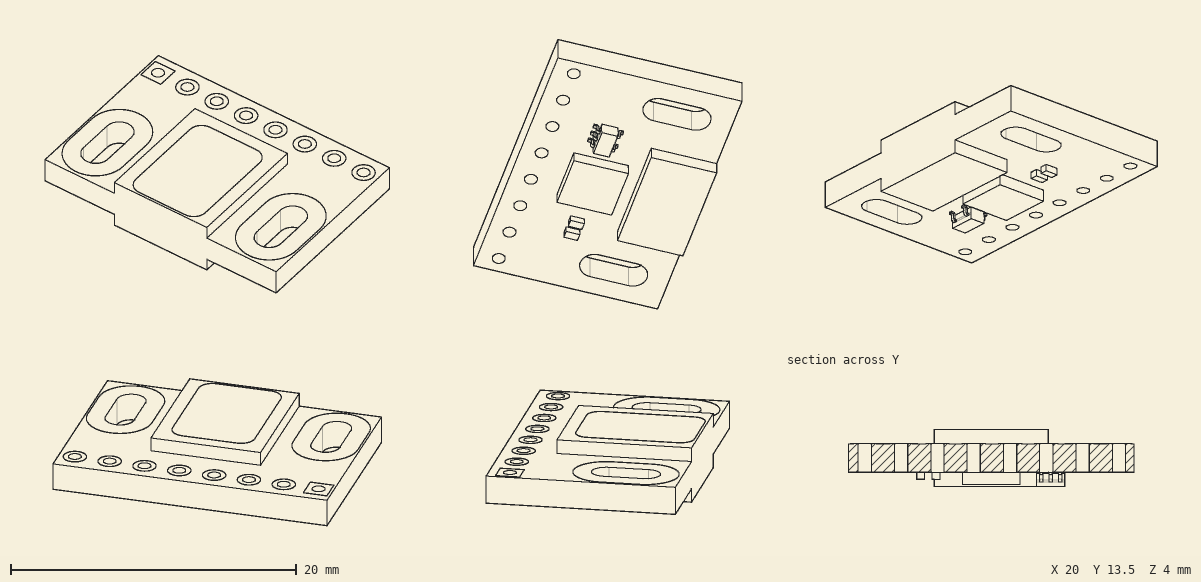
import cadquery as cq

BOARD_X = 20.0
BOARD_Y = 13.5
BOARD_T = 2.0
TOP = BOARD_T / 2
BOTTOM = -BOARD_T / 2
FRONT = -BOARD_Y / 2
BACK = BOARD_Y / 2

PAD_RISE = 0.02

HOLE_COUNT = 8
HOLE_PITCH = 2.55
FIRST_HOLE_X = -8.95
HOLE_D = 0.9
HOLE_Y = BACK - 1.5
ROUND_PAD_D = 1.65
SQUARE_PAD = 1.72

SLOT_X = 7.5
SLOT_Y = FRONT + 4.0
SLOT_STRAIGHT = 2.8
SLOT_W = 2.08
SLOT_PAD_W = 4.7

BLOCK_W = 8.0
BLOCK_H = 1.0
SENSOR_L = 9.6
WINDOW_W = 6.0
WINDOW_L = 8.45
WINDOW_R = 1.0
WINDOW_FRONT_MARGIN = 0.2
WINDOW_DEPTH = 0.02

LOWER_BLOCK_L = 4.8

FLAT_CHIP = 4.0
FLAT_CHIP_H = 0.85
FLAT_CHIP_Y = 1.1

SMALL_X_PLACES = (3.88, 4.95)
SMALL_Y = FLAT_CHIP_Y
SMALL_W = 0.55
SMALL_L = 1.0
SMALL_H = 0.5

CHIP_X = -4.15
CHIP_Y = 1.45
CHIP_L = 2.0
CHIP_W = 1.25
CHIP_H = BLOCK_H
CHIP_GAP = 0.08
CHIP_TOP_INSET = 0.05
CHIP_BOTTOM_INSET = 0.05
LEAD_T = 0.15
LEAD_W = 0.25
LEAD_PITCH = 0.65
LEAD_SPAN = 2.15
LEAD_FOOT = 0.35
LEAD_DROP = 0.52
INNER_BEND_R = 0.05
OUTER_BEND_R = INNER_BEND_R + LEAD_T


def box_on(z, height, x, y, size_x, size_y):
    """Box standing on level z; a negative height hangs it below."""
    return cq.Workplane("XY", origin=(x, y, z)).rect(size_x, size_y).extrude(height)


def slot_prism(x, width, z, height):
    """Upright prism with a slot outline running along Y."""
    length = SLOT_STRAIGHT + width
    return cq.Workplane("XY", origin=(x, SLOT_Y, z)).slot2D(length, width, 90).extrude(height)


def make_board():
    board = box_on(BOTTOM, BOARD_T, 0, 0, BOARD_X, BOARD_Y)

    holes = [(FIRST_HOLE_X + i * HOLE_PITCH, HOLE_Y) for i in range(HOLE_COUNT)]
    board = board.union(box_on(TOP, PAD_RISE, FIRST_HOLE_X, HOLE_Y, SQUARE_PAD, SQUARE_PAD))
    round_pads = cq.Workplane("XY", origin=(0, 0, TOP)).pushPoints(holes[1:])
    board = board.union(round_pads.circle(ROUND_PAD_D / 2).extrude(PAD_RISE))

    for x in (-SLOT_X, SLOT_X):
        board = board.union(slot_prism(x, SLOT_PAD_W, TOP, PAD_RISE))
        board = board.cut(slot_prism(x, SLOT_W, BOTTOM, BOARD_T + PAD_RISE))

    drills = cq.Workplane("XY", origin=(0, 0, BOTTOM)).pushPoints(holes)
    return board.cut(drills.circle(HOLE_D / 2).extrude(BOARD_T + PAD_RISE))


def make_sensor():
    sensor = box_on(TOP, BLOCK_H, 0, FRONT + SENSOR_L / 2, BLOCK_W, SENSOR_L)
    window_y = FRONT + WINDOW_FRONT_MARGIN + WINDOW_L / 2
    window = box_on(TOP + BLOCK_H, -WINDOW_DEPTH, 0, window_y, WINDOW_W, WINDOW_L)
    return sensor.cut(window.edges("|Z").fillet(WINDOW_R))


def make_lead(x, side):
    """Gull-wing lead from inside the chip body out to a foot on the board."""
    tip = LEAD_SPAN / 2
    outer = tip - LEAD_FOOT + LEAD_T
    inner = outer - LEAD_T
    shoulder = LEAD_DROP + LEAD_T
    outline = [
        (0, LEAD_DROP),
        (inner, LEAD_DROP),
        (inner, 0),
        (tip, 0),
        (tip, LEAD_T),
        (outer, LEAD_T),
        (outer, shoulder),
        (0, shoulder),
    ]
    points = [(side * y, -z) for y, z in outline]
    plane = cq.Workplane("YZ", origin=(x, CHIP_Y, BOTTOM))
    lead = plane.polyline(points).close().extrude(LEAD_W / 2, both=True)
    for y, z, radius in (
        (outer, shoulder, OUTER_BEND_R),
        (inner, LEAD_DROP, INNER_BEND_R),
        (inner, 0, OUTER_BEND_R),
        (outer, LEAD_T, INNER_BEND_R),
    ):
        corner = cq.selectors.NearestToPointSelector((x, CHIP_Y + side * y, BOTTOM - z))
        lead = lead.edges("|X").edges(corner).fillet(radius)
    return lead


def make_leaded_chip():
    wide = CHIP_W / 2
    narrow_top = wide - CHIP_TOP_INSET
    narrow_bottom = wide - CHIP_BOTTOM_INSET
    right_side = [
        (narrow_top, CHIP_GAP),
        (wide, LEAD_DROP),
        (wide, LEAD_DROP + LEAD_T),
        (narrow_bottom, CHIP_H),
    ]
    left_side = [(-y, z) for y, z in reversed(right_side)]
    points = [(y, -z) for y, z in right_side + left_side]
    plane = cq.Workplane("YZ", origin=(CHIP_X, CHIP_Y, BOTTOM))
    body = plane.polyline(points).close().extrude(CHIP_L / 2, both=True)

    for step, side in ((-1, -1), (1, -1), (-1, 1), (0, 1), (1, 1)):
        body = body.union(make_lead(CHIP_X + step * LEAD_PITCH, side))
    return body


result = make_board().union(make_sensor())
result = result.union(box_on(BOTTOM, -BLOCK_H, 0, FRONT + LOWER_BLOCK_L / 2, BLOCK_W, LOWER_BLOCK_L))
result = result.union(box_on(BOTTOM, -FLAT_CHIP_H, 0, FLAT_CHIP_Y, FLAT_CHIP, FLAT_CHIP))
for small_x in SMALL_X_PLACES:
    result = result.union(box_on(BOTTOM, -SMALL_H, small_x, SMALL_Y, SMALL_W, SMALL_L))
result = result.union(make_leaded_chip())